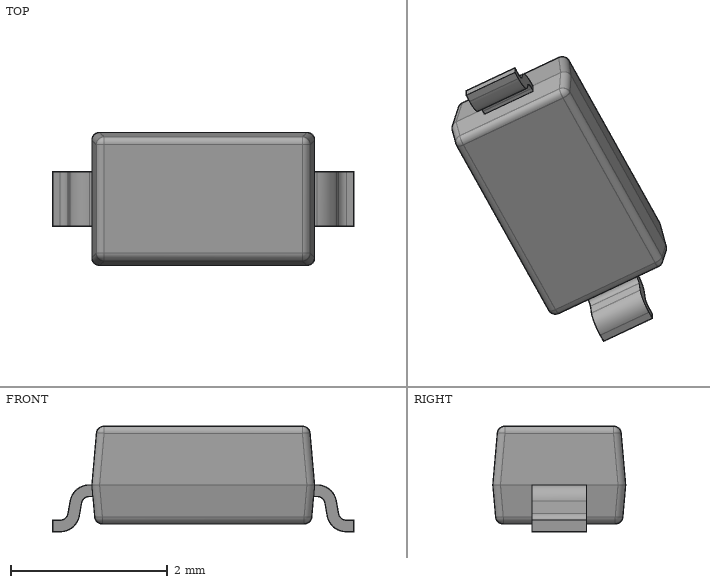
import cadquery as cq
import math

overall_length = 3.85
body_length = 2.85
body_width = 1.7
body_bottom = 0.1
body_top = 1.35
parting_height = 0.6
draft_angle = 5.0
body_fillet = 0.1

lead_width = 0.7
lead_thickness = 0.15
inner_bend_radius = 0.1
foot_length = 0.095
leg_angle = 80.0
lead_overlap = 0.115


def body_half(height):
    """Drafted half on the parting plane; a negative height points down."""
    half = (
        cq.Workplane("XY")
        .rect(body_length, body_width)
        .extrude(height, taper=draft_angle)
    )
    outer_face = ">Z" if height > 0 else "<Z"
    corners = half.edges("not(#Z)")
    rim = half.faces(outer_face).edges()
    rounded = half.newObject(corners.vals() + rim.vals()).fillet(body_fillet)
    return rounded.translate((0, 0, parting_height))


def left_lead():
    """Gull-wing lead: foot, bend, sloped leg, bend, then flat into the body."""
    outer_bend_radius = inner_bend_radius + lead_thickness
    angle = math.radians(leg_angle)

    low_x = foot_length - overall_length / 2
    low_z = outer_bend_radius
    high_z = parting_height - outer_bend_radius
    radius_sum = inner_bend_radius + outer_bend_radius
    leg_length = (high_z - low_z + radius_sum * math.cos(angle)) / math.sin(angle)
    high_x = low_x + radius_sum * math.sin(angle) + leg_length * math.cos(angle)

    def low_bend(radius, turn):
        return low_x + radius * math.sin(turn), low_z - radius * math.cos(turn)

    def high_bend(radius, turn):
        return high_x - radius * math.sin(turn), high_z + radius * math.cos(turn)

    foot_tip = -overall_length / 2
    root = -body_length / 2 + lead_overlap
    return (
        cq.Workplane("XZ")
        .moveTo(foot_tip, 0)
        .lineTo(low_x, 0)
        .threePointArc(low_bend(outer_bend_radius, angle / 2), low_bend(outer_bend_radius, angle))
        .lineTo(*high_bend(inner_bend_radius, angle))
        .threePointArc(high_bend(inner_bend_radius, angle / 2), high_bend(inner_bend_radius, 0))
        .lineTo(root, parting_height - lead_thickness)
        .lineTo(root, parting_height)
        .lineTo(high_x, parting_height)
        .threePointArc(high_bend(outer_bend_radius, angle / 2), high_bend(outer_bend_radius, angle))
        .lineTo(*low_bend(inner_bend_radius, angle))
        .threePointArc(low_bend(inner_bend_radius, angle / 2), low_bend(inner_bend_radius, 0))
        .lineTo(foot_tip, lead_thickness)
        .close()
        .extrude(lead_width / 2, both=True)
    )


upper_body = body_half(body_top - parting_height)
lower_body = body_half(body_bottom - parting_height)
lead = left_lead()

result = upper_body.union(lower_body).union(lead).union(lead.mirror("YZ"))